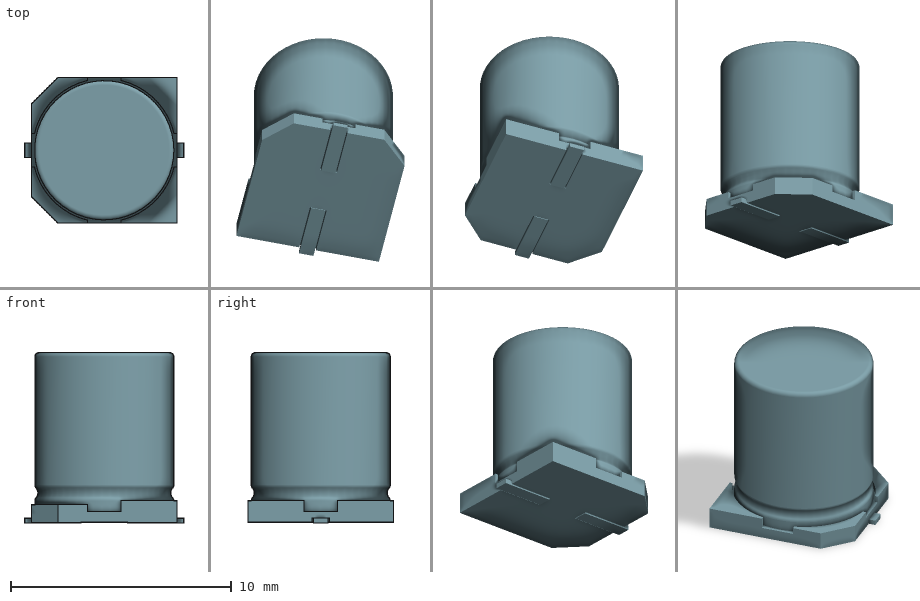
import cadquery as cq
import math

total_height = 7.72
base_bottom = 0.03
pocket_floor = 0.53
low_corner_top = 0.83
high_corner_top = 1.01

base_width = 6.6
corner_chamfer = 1.205
pocket_radius = 3.25
notch_width = 1.51

can_radius = 3.15
can_top_fillet = 0.2
groove_depth = 0.14
groove_middle = 1.37
groove_half_height = 0.355
groove_hollow_share = 0.65

lead_span = 7.2
lead_inner_end = 1.05
lead_width = 0.665
lead_top = 0.225
slot_width = 0.78


def centered_box(length, width, bottom, top, x=0.0):
    """Box centred on (x, 0) that fills the heights from bottom to top."""
    box = cq.Workplane("XY").box(length, width, top - bottom, centered=(True, True, False))
    return box.translate((x, 0, bottom))


def make_base():
    base = centered_box(base_width, base_width, base_bottom, high_corner_top)
    base = base.edges("|Z and <X").chamfer(corner_chamfer)

    base = base.cut(centered_box(base_width / 2, base_width, low_corner_top, high_corner_top, -base_width / 4))

    pocket_depth = high_corner_top - pocket_floor
    pocket = cq.Workplane("XY").workplane(offset=pocket_floor).circle(pocket_radius).extrude(pocket_depth)
    base = base.cut(pocket)
    base = base.cut(centered_box(base_width, notch_width, pocket_floor, high_corner_top))
    base = base.cut(centered_box(notch_width, base_width, pocket_floor, high_corner_top))

    slot_length = base_width / 2 - lead_inner_end
    slot_middle = (base_width / 2 + lead_inner_end) / 2
    for side in (-1, 1):
        base = base.cut(centered_box(slot_length, slot_width, base_bottom, lead_top, side * slot_middle))
    return base


def make_can():
    turn = 2 * math.atan(groove_depth / groove_half_height)
    hollow_half_height = groove_hollow_share * groove_half_height
    hollow_radius = hollow_half_height / math.sin(turn)
    lip_radius = (groove_half_height - hollow_half_height) / math.sin(turn)

    lip_drop = lip_radius * (1 - math.cos(turn))
    lip_middle_drop = lip_radius * (1 - math.cos(turn / 2))
    lip_middle_height = groove_half_height - lip_radius * math.sin(turn / 2)
    joint_radius = can_radius - lip_drop
    lip_middle_radius = can_radius - lip_middle_drop
    groove_radius = joint_radius - hollow_radius * (1 - math.cos(turn))

    profile = (
        cq.Workplane("XZ")
        .moveTo(0, pocket_floor)
        .lineTo(can_radius, pocket_floor)
        .lineTo(can_radius, groove_middle - groove_half_height)
        .threePointArc(
            (lip_middle_radius, groove_middle - lip_middle_height),
            (joint_radius, groove_middle - hollow_half_height),
        )
        .threePointArc(
            (groove_radius, groove_middle),
            (joint_radius, groove_middle + hollow_half_height),
        )
        .threePointArc(
            (lip_middle_radius, groove_middle + lip_middle_height),
            (can_radius, groove_middle + groove_half_height),
        )
        .lineTo(can_radius, total_height)
        .lineTo(0, total_height)
        .close()
    )
    can = profile.revolve(360, (0, 0, 0), (0, 1, 0))
    return can.faces(">Z").edges().fillet(can_top_fillet)


def make_lead(side):
    lead_length = lead_span / 2 - lead_inner_end
    lead_middle = (lead_span / 2 + lead_inner_end) / 2
    return centered_box(lead_length, lead_width, 0, lead_top, side * lead_middle)


result = make_base().union(make_can())
for lead_side in (-1, 1):
    result = result.union(make_lead(lead_side))